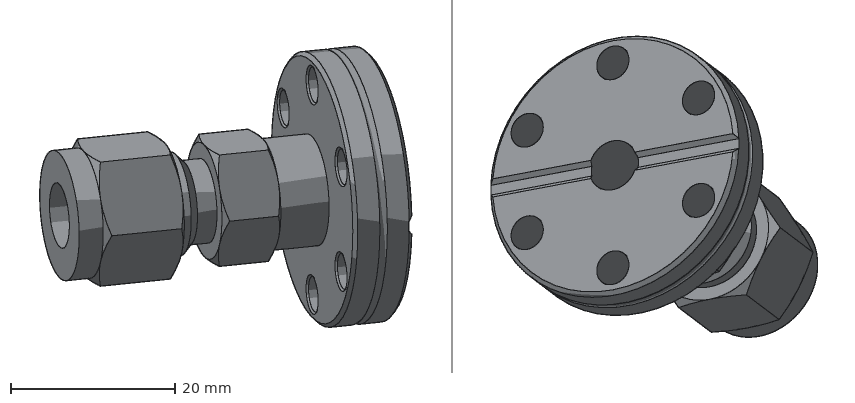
import cadquery as cq
import math


flange_diameter = 33.8
flange_thickness = 7.58
back_chamfer = 0.5
front_chamfer = 0.48
rim_groove_width = 0.95
rim_groove_depth = 0.25
rim_groove_station = flange_thickness / 2
bolt_count = 6
bolt_circle_radius = 13.48
bolt_hole_diameter = 4.4
bolt_hole_chamfer = 0.25
leak_groove_width = 2.4
leak_groove_depth = 0.55

tube_diameter = 13.7
body_hex_flats = 14.35
body_hex_start = 13.85
body_hex_length = 7.55
neck_diameter = 10.35
shoulder_diameter = 12.7
shoulder_length = 1.4
body_bore_diameter = 6.4

total_length = 39.87
nut_hex_flats = 16.0
nut_hex_length = 10.35
nut_collar_length = 3.07
nut_bore_diameter = 8.0

hex_sides = 6
hex_chamfer_angle = 30.0

body_hex_end = body_hex_start + body_hex_length
nut_hex_end = total_length - nut_collar_length
nut_start = nut_hex_end - nut_hex_length
shoulder_start = nut_start - shoulder_length
shoulder_cone_length = (shoulder_diameter - neck_diameter) / 2
shoulder_cone_start = shoulder_start - shoulder_cone_length


def plane_at(station):
    """Plane across the axis, with its normal towards -Y and its local x along X."""
    return cq.Workplane("XZ", origin=(0, -station, 0))


def cylinder(diameter, start, end):
    """Solid cylinder on the axis between two stations."""
    return plane_at(start).circle(diameter / 2).extrude(end - start)


def revolve_about_axis(profile):
    """Revolve a closed (radius, Y) profile a full turn about the Y axis."""
    return profile.close().revolve(360, (0, 0, 0), (0, 1, 0))


def chamfered_hex(flats, start, end):
    """Hexagonal prism, corners on the X axis, both ends turned down to the flats' circle."""
    inscribed_radius = flats / 2
    corner_radius = inscribed_radius / math.cos(math.pi / hex_sides)
    corner_drop = (corner_radius - inscribed_radius) * math.tan(math.radians(hex_chamfer_angle))
    prism = plane_at(start).polygon(hex_sides, 2 * corner_radius).extrude(end - start)
    turned_envelope = revolve_about_axis(
        cq.Workplane("XY")
        .moveTo(0, -start)
        .lineTo(inscribed_radius, -start)
        .lineTo(corner_radius, -start - corner_drop)
        .lineTo(corner_radius, -end + corner_drop)
        .lineTo(inscribed_radius, -end)
        .lineTo(0, -end)
    )
    return prism.intersect(turned_envelope)


def make_flange_disc():
    """Chamfered disc with a shallow rounded groove around the middle of its rim."""
    radius = flange_diameter / 2
    groove_start = rim_groove_station - rim_groove_width / 2
    groove_end = rim_groove_station + rim_groove_width / 2
    return revolve_about_axis(
        cq.Workplane("XY")
        .moveTo(0, 0)
        .lineTo(radius - back_chamfer, 0)
        .lineTo(radius, -back_chamfer)
        .lineTo(radius, -groove_start)
        .threePointArc((radius - rim_groove_depth, -rim_groove_station), (radius, -groove_end))
        .lineTo(radius, -flange_thickness + front_chamfer)
        .lineTo(radius - front_chamfer, -flange_thickness)
        .lineTo(0, -flange_thickness)
    )


def make_bolt_holes():
    """Ring of through holes, each with a small chamfer at the front face."""
    radius = bolt_hole_diameter / 2
    chamfer_start = flange_thickness - bolt_hole_chamfer
    hole = cylinder(bolt_hole_diameter, 0, flange_thickness).union(
        plane_at(chamfer_start)
        .circle(radius)
        .workplane(offset=bolt_hole_chamfer)
        .circle(radius + bolt_hole_chamfer)
        .loft(ruled=True)
    )
    top_hole = hole.translate((0, 0, bolt_circle_radius))
    holes = cq.Workplane("XZ")
    for index in range(bolt_count):
        angle = index * 360 / bolt_count
        holes = holes.add(top_hole.rotate((0, 0, 0), (0, 1, 0), angle))
    return holes.combine()


def make_leak_groove():
    """Trapezoidal groove straight across the sealing face, along X."""
    half_width = leak_groove_width / 2
    half_floor = half_width - leak_groove_depth
    return (
        cq.Workplane("YZ")
        .polyline(
            [
                (0, -half_width),
                (-leak_groove_depth, -half_floor),
                (-leak_groove_depth, half_floor),
                (0, half_width),
            ]
        )
        .close()
        .extrude(flange_diameter / 2, both=True)
    )


def make_shoulder():
    """Shoulder that carries the nut, with a cone rising to it from the neck."""
    return revolve_about_axis(
        cq.Workplane("XY")
        .moveTo(0, -shoulder_cone_start)
        .lineTo(neck_diameter / 2, -shoulder_cone_start)
        .lineTo(shoulder_diameter / 2, -shoulder_start)
        .lineTo(shoulder_diameter / 2, -nut_start)
        .lineTo(0, -nut_start)
    )


def make_flanged_body():
    """Flange, tube, hexagon, neck and shoulder in one piece, bored right through."""
    return (
        make_flange_disc()
        .union(cylinder(tube_diameter, flange_thickness, body_hex_start))
        .union(chamfered_hex(body_hex_flats, body_hex_start, body_hex_end))
        .union(cylinder(neck_diameter, body_hex_end, shoulder_cone_start))
        .union(make_shoulder())
        .cut(make_bolt_holes())
        .cut(make_leak_groove())
        .cut(cylinder(body_bore_diameter, 0, nut_start))
    )


def make_nut():
    """Hexagonal nut with a round collar at its front, seated on the end of the shoulder."""
    return (
        chamfered_hex(nut_hex_flats, nut_start, nut_hex_end)
        .union(cylinder(nut_hex_flats, nut_hex_end, total_length))
        .cut(cylinder(nut_bore_diameter, nut_start, total_length))
    )


flanged_body = make_flanged_body()
nut = make_nut()

result = cq.Compound.makeCompound([flanged_body.solids().val(), nut.solids().val()])